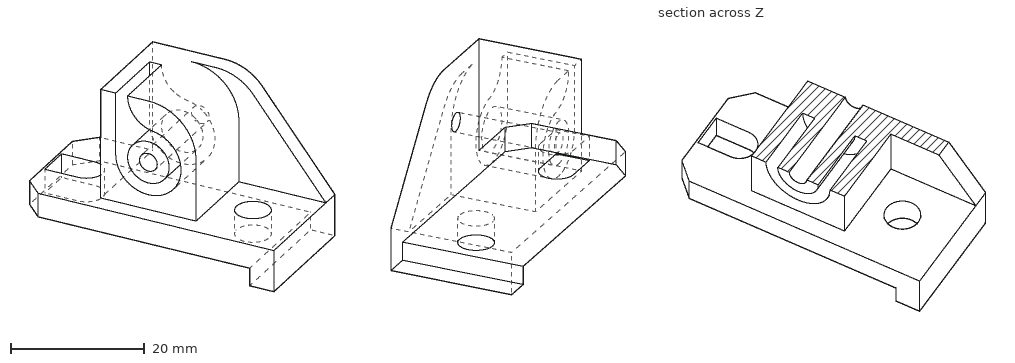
import cadquery as cq
import math

length = 42.6
width = 20.0
lip_drop = 3.0
lip_length = 4.1
plate_thickness = 4.0
plate_top = lip_drop + plate_thickness
corner_chamfer = 3.0

opening_diameter = 5.5
slot_start = 0.4
slot_end = 8.7
hole_x = 33.95

height = 25.4
tower_left = 11.98
tower_right = 28.0
tower_front = 3.0
wall_thickness = 3.0
wall_front = width - wall_thickness
round_radius = 8.0

hub_x = 20.0
hub_z = 15.0
hub_diameter = 7.0
pin_diameter = 3.0
pocket_radius = 5.5
pocket_depth = 11.1
mouth_width = 2.0


def extrude_along_y(sketch, start, depth):
    """Extrude an XZ sketch toward +Y from the plane Y = start."""
    return sketch.extrude(-depth).translate((0, start, 0))


def make_plate():
    plate = cq.Workplane("XY").box(length, width, plate_thickness, centered=False)
    plate = plate.edges("|Z and <X").chamfer(corner_chamfer).translate((0, 0, lip_drop))
    lip = cq.Workplane("XY").box(lip_length, width, plate_top, centered=False)
    return plate.union(lip.translate((length - lip_length, 0, 0)))


def make_openings():
    radius = opening_diameter / 2
    middle = width / 2
    arc_x = slot_end - radius
    slot = (
        cq.Workplane("XY")
        .moveTo(slot_start, middle - radius)
        .lineTo(arc_x, middle - radius)
        .threePointArc((slot_end, middle), (arc_x, middle + radius))
        .lineTo(slot_start, middle + radius)
        .close()
        .extrude(plate_top)
    )
    hole = cq.Workplane("XY").center(hole_x, middle).circle(radius).extrude(plate_top)
    return slot.union(hole)


def make_tower():
    tower_height = height - plate_top
    block = (
        cq.Workplane("XY")
        .box(tower_right - tower_left, wall_front - tower_front, tower_height, centered=False)
        .edges("|Y and >X and >Z")
        .fillet(round_radius)
        .translate((tower_left, tower_front, plate_top))
    )
    gusset = (
        cq.Workplane("XZ")
        .moveTo(tower_left, plate_top)
        .lineTo(length, plate_top)
        .lineTo(tower_right, height)
        .lineTo(tower_left, height)
        .close()
    )
    gusset = extrude_along_y(gusset, wall_front, wall_thickness)
    corner = cq.selectors.NearestToPointSelector((tower_right, width - wall_thickness / 2, height))
    return block.union(gusset.edges(corner).fillet(round_radius))


def make_pocket():
    """Round pocket whose mouth rises to the top and is narrowed by a curved hook."""
    left = hub_x - pocket_radius
    mouth_right = left + mouth_width
    rise = height - hub_z
    offset = hub_x - mouth_right
    hook_radius = (rise**2 + offset**2 - pocket_radius**2) / (2 * (pocket_radius + offset))
    hook_x = mouth_right + hook_radius
    reach = pocket_radius + hook_radius
    toward_x = (hook_x - hub_x) / reach
    toward_z = rise / reach
    join = (hub_x + pocket_radius * toward_x, hub_z + pocket_radius * toward_z)
    join_angle = math.pi + math.atan2(toward_z, toward_x)
    hook_angle = (math.pi + join_angle) / 2
    hook_mid = (
        hook_x + hook_radius * math.cos(hook_angle),
        height + hook_radius * math.sin(hook_angle),
    )
    pocket = (
        cq.Workplane("XZ")
        .moveTo(left, hub_z)
        .lineTo(left, height)
        .lineTo(mouth_right, height)
        .threePointArc(hook_mid, join)
        .threePointArc((hub_x, hub_z - pocket_radius), (left, hub_z))
        .close()
    )
    pocket = extrude_along_y(pocket, tower_front, pocket_depth)
    hub = cq.Workplane("XZ").center(hub_x, hub_z).circle(hub_diameter / 2)
    return pocket.cut(extrude_along_y(hub, tower_front, pocket_depth))


def make_pin_hole():
    hole = cq.Workplane("XZ").center(hub_x, hub_z).circle(pin_diameter / 2)
    return extrude_along_y(hole, 0, width)


result = (
    make_plate()
    .cut(make_openings())
    .union(make_tower())
    .cut(make_pocket())
    .cut(make_pin_hole())
)